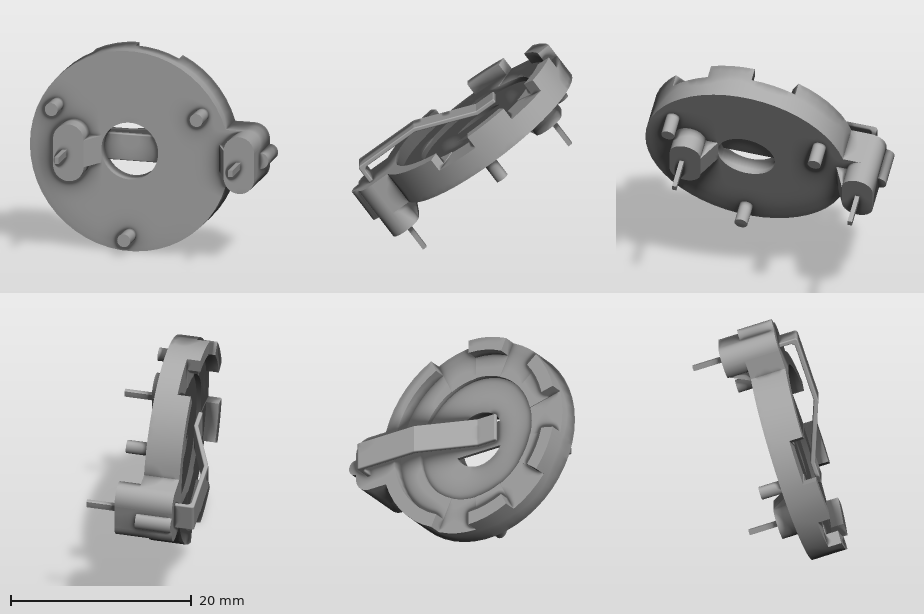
import cadquery as cq
import math


base_radius = 11.5
rim_height = 4.0
cavity_radius = 9.95
seat_y = 2.58
recess_radius = 7.4
floor_thickness = 1.97
centre_hole_radius = 3.26
foot_height = 2.5

notch_pitch = 360 / 7
notch_half_angle = notch_pitch / 4
notch_depth = 1.5
notch_places = (-2, -1, 0, 1, 2)

post_radius = 0.75
post_circle_radius = 9.63
post_angles = (30, 150, 270)
block_half_width = 1.75
block_half_length = 3.26
gusset_width = 3.07
left_gusset_run = 1.37
right_gusset_run = 1.23

pin_thickness = 0.5
pin_width = 0.75
pin_length_below_feet = 3.5
pin_spacing = 20.0
left_pin_x = -6.75
right_pin_x = left_pin_x + pin_spacing
left_block_x = -6.36
right_block_x = right_pin_x
left_block_side_x = left_block_x + block_half_width
right_block_side_x = right_block_x - block_half_width

nub_radius = 0.9
nub_tip_x = 15.95

metal_thickness = 0.5
edge_round = 0.15
strip_width = gusset_width
strip_end_x = left_pin_x - pin_thickness / 2
clip_width = 3.25
clip_top_y = 6.17
clip_lip_top_y = 3.6
clip_tip_x = -centre_hole_radius
clip_lip_bend_x = -0.88
clip_top_bend_x = 5.85
clip_outer_bend_radius = 0.3
clip_inner_bend_radius = 0.47

strip_bottom_y = floor_thickness - metal_thickness


def plane_at(y):
    """Work plane parallel to the base, with local axes X and Z."""
    return cq.Workplane("XZ", origin=(0, y, 0))


def cylinder(x, z, radius, bottom_y, top_y):
    return plane_at(bottom_y).center(x, z).circle(radius).extrude(bottom_y - top_y)


def box(x_min, x_max, y_min, y_max, width):
    """Box centred on Z = 0."""
    return (
        cq.Workplane("XY")
        .box(x_max - x_min, y_max - y_min, width, centered=(False, False, True))
        .translate((x_min, y_min, 0))
    )


def block(x, top_y):
    """Round-ended terminal block standing on the board."""
    return (
        plane_at(-foot_height)
        .center(x, 0)
        .slot2D(2 * block_half_length, 2 * block_half_width, 90)
        .extrude(-foot_height - top_y)
    )


def gusset(block_x, block_side_x, tip_x):
    """Sloped rib from the foot of a block up to the base, rooted inside the block."""
    profile = [(block_x, -foot_height), (block_side_x, -foot_height), (tip_x, 0), (block_x, 0)]
    return cq.Workplane("XY").polyline(profile).close().extrude(gusset_width / 2, both=True)


def notch(angle):
    """Radial wedge that opens the rim, centred on the given angle."""
    reach = 2 * base_radius
    corners = [
        (reach * math.cos(math.radians(side)), reach * math.sin(math.radians(side)))
        for side in (angle - notch_half_angle, angle + notch_half_angle)
    ]
    return plane_at(rim_height - notch_depth).polyline([(0, 0), *corners]).close().extrude(-notch_depth)


def make_pin(x):
    """Solder pin reaching up through its block to the underside of its contact."""
    return box(
        x - pin_thickness / 2,
        x + pin_thickness / 2,
        -foot_height - pin_length_below_feet,
        strip_bottom_y,
        pin_width,
    )


def make_strip():
    """Flat contact under the cell, let into the floor across the centre hole."""
    strip = box(strip_end_x, -strip_end_x, strip_bottom_y, floor_thickness, strip_width)
    return strip.faces("<Y").edges("|X").fillet(edge_round)


def make_clip():
    """Spring contact over the cell: flat lip, rising arm, flat top and a leg set into the right block."""
    rise_angle = math.atan2(clip_top_y - clip_lip_top_y, clip_top_bend_x - clip_lip_bend_x)
    bend_shift = metal_thickness * math.tan(rise_angle / 2)
    leg_inner_x = right_pin_x - metal_thickness / 2
    leg_outer_x = right_pin_x + metal_thickness / 2
    profile = [
        (clip_tip_x, clip_lip_top_y),
        (clip_lip_bend_x, clip_lip_top_y),
        (clip_top_bend_x, clip_top_y),
        (leg_outer_x, clip_top_y),
        (leg_outer_x, strip_bottom_y),
        (leg_inner_x, strip_bottom_y),
        (leg_inner_x, clip_top_y - metal_thickness),
        (clip_top_bend_x + bend_shift, clip_top_y - metal_thickness),
        (clip_lip_bend_x + bend_shift, clip_lip_top_y - metal_thickness),
        (clip_tip_x, clip_lip_top_y - metal_thickness),
    ]
    clip = cq.Workplane("XY").polyline(profile).close().extrude(clip_width / 2, both=True)
    outer_bend = cq.NearestToPointSelector((leg_outer_x, clip_top_y, 0))
    inner_bend = cq.NearestToPointSelector((leg_inner_x, clip_top_y - metal_thickness, 0))
    clip = clip.edges(outer_bend).fillet(clip_outer_bend_radius)
    clip = clip.edges(inner_bend).fillet(clip_inner_bend_radius)
    return clip.faces("<Z or >Z or <X").edges().fillet(edge_round)


def make_housing():
    housing = cylinder(0, 0, base_radius, 0, rim_height)
    housing = housing.union(box(0, right_block_x, 0, rim_height, 2 * block_half_length))
    housing = housing.union(block(right_block_x, rim_height))
    housing = housing.union(cylinder(nub_tip_x - nub_radius, 0, nub_radius, 0, rim_height))
    housing = housing.union(block(left_block_x, 0))
    housing = housing.union(gusset(left_block_x, left_block_side_x, left_block_side_x + left_gusset_run))
    housing = housing.union(gusset(right_block_x, right_block_side_x, right_block_side_x - right_gusset_run))
    for angle in post_angles:
        x = post_circle_radius * math.cos(math.radians(angle))
        z = post_circle_radius * math.sin(math.radians(angle))
        housing = housing.union(cylinder(x, z, post_radius, -foot_height, 0))
    housing = housing.cut(cylinder(0, 0, cavity_radius, seat_y, rim_height))
    housing = housing.cut(cylinder(0, 0, recess_radius, floor_thickness, seat_y))
    housing = housing.cut(cylinder(0, 0, centre_hole_radius, 0, floor_thickness))
    for place in notch_places:
        housing = housing.cut(notch(180 + place * notch_pitch))
    return housing


pins = [make_pin(x) for x in (left_pin_x, right_pin_x)]
strip = make_strip()
clip = make_clip()
housing = make_housing()
for metal_part in (strip, clip, *pins):
    housing = housing.cut(metal_part)

result = cq.Compound.makeCompound([housing.val(), strip.val(), clip.val(), *[pin.val() for pin in pins]])